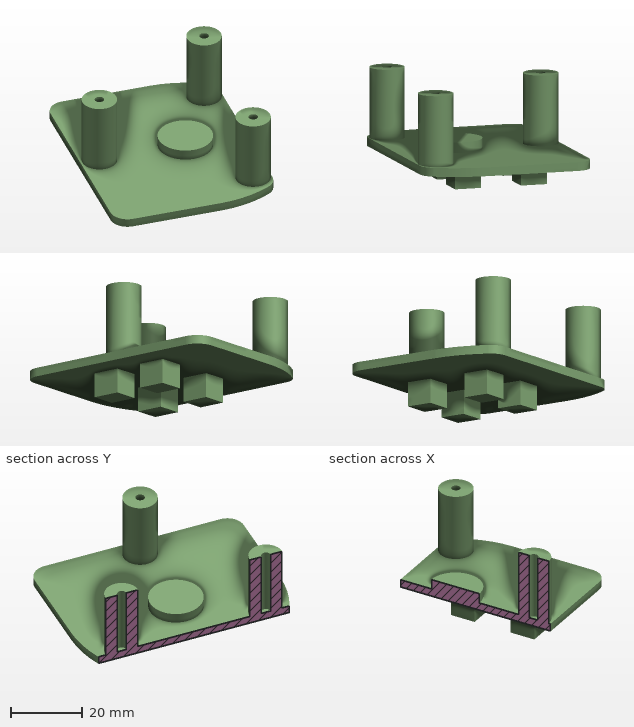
import cadquery as cq
import math

plate_width = 64.0
plate_depth = 49.0
plate_thickness = 2.5
half_width = plate_width / 2
front_corner_radius = 5.0
shoulder_start_y = 31.05
shoulder_radius = 32.0
rear_corner_radius = 5.0

total_height = 29.7
foot_height = 7.0
post_height = total_height - foot_height - plate_thickness
post_diameter = 10.0
post_hole_diameter = 2.7
rear_post_x = 22.1
rear_post_y = 43.85
front_post_y = 5.6
post_centers = [(-rear_post_x, rear_post_y), (rear_post_x, rear_post_y), (0, front_post_y)]

pad_diameter = 15.7
pad_height = 3.0
pad_center = (0, shoulder_start_y)

foot_width = 8.2
foot_depth = 7.7
foot_x = 8.2
front_foot_y = 11.6
rear_foot_y = 31.05
foot_centers = [(x, y) for x in (-foot_x, foot_x) for y in (front_foot_y, rear_foot_y)]


def make_plate():
    """Plate with rounded front corners and shoulders curving into rounded rear corners."""
    shoulder_center_x = half_width - shoulder_radius
    corner_y = plate_depth - rear_corner_radius
    center_distance = shoulder_radius - rear_corner_radius
    tangent_angle = math.asin((corner_y - shoulder_start_y) / center_distance)
    corner_x = shoulder_center_x + center_distance * math.cos(tangent_angle)

    def shoulder_point(angle):
        return (
            shoulder_center_x + shoulder_radius * math.cos(angle),
            shoulder_start_y + shoulder_radius * math.sin(angle),
        )

    def corner_point(angle):
        return (
            corner_x + rear_corner_radius * math.cos(angle),
            corner_y + rear_corner_radius * math.sin(angle),
        )

    def mirrored(point):
        return (-point[0], point[1])

    shoulder_middle = shoulder_point(tangent_angle / 2)
    shoulder_end = shoulder_point(tangent_angle)
    corner_middle = corner_point((tangent_angle + math.pi / 2) / 2)
    corner_end = (corner_x, plate_depth)

    outline = (
        cq.Workplane("XY")
        .moveTo(-half_width, 0)
        .lineTo(half_width, 0)
        .lineTo(half_width, shoulder_start_y)
        .threePointArc(shoulder_middle, shoulder_end)
        .threePointArc(corner_middle, corner_end)
        .lineTo(*mirrored(corner_end))
        .threePointArc(mirrored(corner_middle), mirrored(shoulder_end))
        .threePointArc(mirrored(shoulder_middle), (-half_width, shoulder_start_y))
        .close()
    )
    plate = outline.extrude(plate_thickness)
    return plate.edges("|Z and <Y").fillet(front_corner_radius)


def make_posts():
    """Tubular posts whose bores stop at the top face of the plate."""
    return (
        cq.Workplane("XY", origin=(0, 0, plate_thickness))
        .pushPoints(post_centers)
        .circle(post_diameter / 2)
        .circle(post_hole_diameter / 2)
        .extrude(post_height)
    )


def make_pad():
    return (
        cq.Workplane("XY", origin=(0, 0, plate_thickness))
        .center(*pad_center)
        .circle(pad_diameter / 2)
        .extrude(pad_height)
    )


def make_feet():
    return (
        cq.Workplane("XY")
        .pushPoints(foot_centers)
        .rect(foot_width, foot_depth)
        .extrude(-foot_height)
    )


result = make_plate().union(make_posts()).union(make_pad()).union(make_feet())